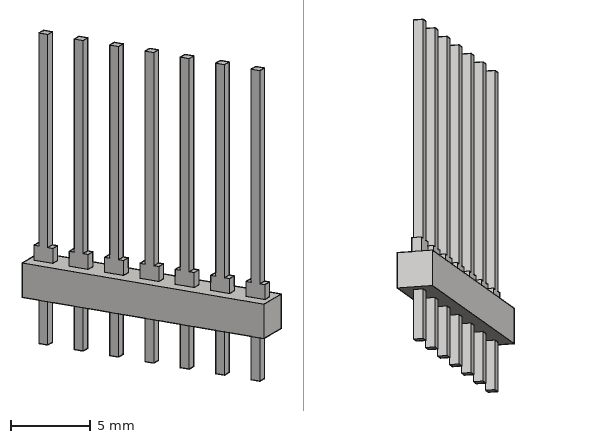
import cadquery as cq

body_length = 17.37
body_depth = 2.34
body_height = 2.3

pin_count = 7
pin_width = 0.65
pin_row_span = 15.24
pin_pitch = pin_row_span / (pin_count - 1)
total_height = 20.7
tail_length = 3.2

shoulder_width = 1.37
shoulder_height = 1.0


def block(width, depth, height, x, bottom):
    """Box centred on (x, 0) that rises from the given Z."""
    box = cq.Workplane("XY").box(width, depth, height, centered=(True, True, False))
    return box.translate((x, 0, bottom))


result = block(body_length, body_depth, body_height, 0, 0)

for index in range(pin_count):
    pin_x = index * pin_pitch - pin_row_span / 2
    pin = block(pin_width, pin_width, total_height, pin_x, -tail_length)
    shoulder = block(shoulder_width, pin_width, shoulder_height, pin_x, body_height)
    result = result.union(pin).union(shoulder)